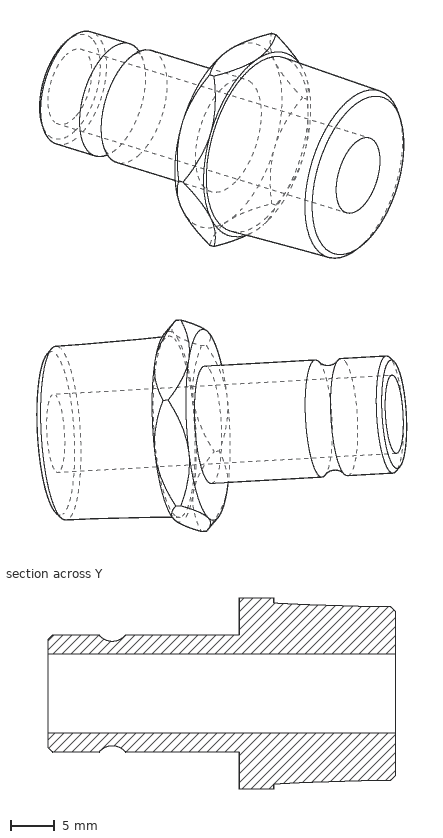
import cadquery as cq
import math

overall_length = 40.0
hex_start = 22.0
hex_width = 4.0
hex_end = hex_start + hex_width

shank_radius = 6.75
shank_chamfer = 0.5
bore_diameter = 9.0

groove_start = 5.9
groove_width = 3.0
groove_depth = 0.7

hex_sides = 6
across_flats = 22.0

thread_base_radius = 10.45
thread_taper = 1 / 16
thread_chamfer = 0.6


def revolve_about_x(profile):
    """Close a half profile drawn in the XY plane and turn it round the X axis."""
    return profile.close().revolve(360, (0, 0, 0), (1, 0, 0))


def make_shank():
    groove_floor = (groove_start + groove_width / 2, shank_radius - groove_depth)
    profile = (
        cq.Workplane("XY")
        .lineTo(0, shank_radius - shank_chamfer)
        .lineTo(shank_chamfer, shank_radius)
        .lineTo(groove_start, shank_radius)
        .threePointArc(groove_floor, (groove_start + groove_width, shank_radius))
        .lineTo(hex_end, shank_radius)
        .lineTo(hex_end, 0)
    )
    return revolve_about_x(profile)


def make_collar():
    """Hexagon with two flats facing up and down and both faces chamfered."""
    flat_radius = across_flats / 2
    corner_radius = flat_radius / math.cos(math.pi / hex_sides)
    prism = (
        cq.Workplane("YZ", origin=(hex_start, 0, 0))
        .polygon(hex_sides, 2 * corner_radius)
        .extrude(hex_width)
    )
    chamfer_width = corner_radius - flat_radius
    envelope = revolve_about_x(
        cq.Workplane("XY")
        .moveTo(hex_start, 0)
        .lineTo(hex_start, flat_radius)
        .lineTo(hex_start + chamfer_width, corner_radius)
        .lineTo(hex_end - chamfer_width, corner_radius)
        .lineTo(hex_end, flat_radius)
        .lineTo(hex_end, 0)
    )
    return prism.intersect(envelope)


def make_threaded_end():
    chamfer_start = overall_length - thread_chamfer
    tip_radius = thread_base_radius - thread_taper / 2 * (chamfer_start - hex_end)
    profile = (
        cq.Workplane("XY")
        .moveTo(hex_end, 0)
        .lineTo(hex_end, thread_base_radius)
        .lineTo(chamfer_start, tip_radius)
        .lineTo(overall_length, tip_radius - thread_chamfer)
        .lineTo(overall_length, 0)
    )
    return revolve_about_x(profile)


bore = cq.Workplane("YZ").circle(bore_diameter / 2).extrude(overall_length)
result = make_shank().union(make_collar()).union(make_threaded_end()).cut(bore)